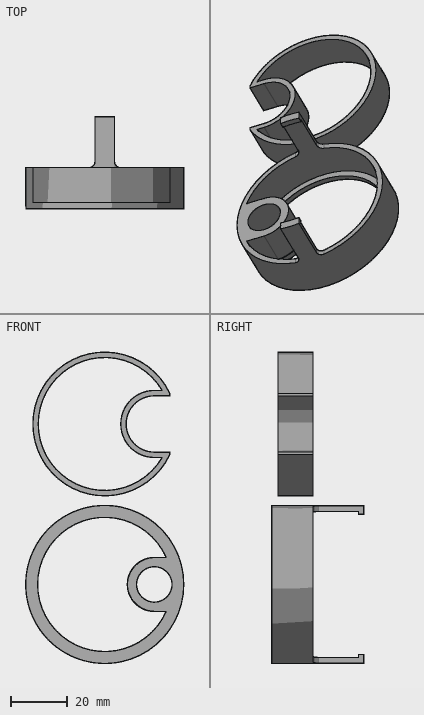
import cadquery as cq
import math


total_height = 110.2

housing_radius = 28.0
housing_wall = 2.0
housing_depth = 14.7
lip_thickness = 2.0
lip_inner_radius = 23.7
bore_radius = housing_radius - housing_wall

boss_x = 17.5
boss_radius = 9.6
boss_step = 0.2
boss_hole_diameter = 12.5

arm_width = 7.0
arm_end_y = 32.6
arm_root_fillet = 2.0
hook_length = 2.0
hook_height = 1.0

insert_radius = 25.5
insert_wall = 2.0
insert_front_y = 2.2
insert_end_x = 23.0
insert_notch_radius = 9.9
insert_z = total_height - housing_radius - insert_radius


def disc(radius, start_y, end_y):
    """Solid cylinder about the Y axis between two Y positions."""
    return cq.Workplane("XZ", origin=(0, start_y, 0)).circle(radius).extrude(start_y - end_y)


def tongue(radius, start_y, end_y):
    """Block with a round -X end centred on the boss axis, running out to the housing radius in +X."""
    return (
        cq.Workplane("XZ", origin=(0, start_y, 0))
        .moveTo(housing_radius, radius)
        .lineTo(boss_x, radius)
        .threePointArc((boss_x - radius, 0), (boss_x, -radius))
        .lineTo(housing_radius, -radius)
        .close()
        .extrude(start_y - end_y)
    )


def make_arms():
    """Both arms: the tube wall cut to a flared strip, plus hooks at the free ends."""
    half_width = arm_width / 2
    root_half_width = half_width + arm_root_fillet
    fillet_end_y = housing_depth + arm_root_fillet
    fillet_middle = arm_root_fillet * (1 - math.sqrt(0.5))
    strip = (
        cq.Workplane("XY")
        .moveTo(-root_half_width, housing_depth)
        .threePointArc(
            (-half_width - fillet_middle, housing_depth + fillet_middle),
            (-half_width, fillet_end_y),
        )
        .lineTo(-half_width, arm_end_y)
        .lineTo(half_width, arm_end_y)
        .lineTo(half_width, fillet_end_y)
        .threePointArc(
            (half_width + fillet_middle, housing_depth + fillet_middle),
            (root_half_width, housing_depth),
        )
        .close()
        .extrude(housing_radius, both=True)
    )
    hook_start_y = arm_end_y - hook_length
    hook_radius = bore_radius - hook_height
    tube = (
        disc(housing_radius, housing_depth, arm_end_y)
        .cut(disc(bore_radius, housing_depth, hook_start_y))
        .cut(disc(hook_radius, hook_start_y, arm_end_y))
    )
    return tube.intersect(strip)


def make_housing():
    """Ring with a front lip, a tubular boss and two hooked arms."""
    ring = (
        disc(housing_radius, 0, housing_depth)
        .cut(disc(lip_inner_radius, 0, lip_thickness))
        .cut(disc(bore_radius, lip_thickness, housing_depth))
    )
    boss = tongue(boss_radius, 0, lip_thickness).union(
        tongue(boss_radius - boss_step, lip_thickness, housing_depth)
    )
    boss = boss.intersect(disc(housing_radius, 0, housing_depth))
    boss_hole = disc(boss_hole_diameter / 2, 0, housing_depth).translate((boss_x, 0, 0))
    return ring.union(boss).cut(boss_hole).union(make_arms())


def make_insert():
    """Thin-walled crescent whose notch leaves room for the boss."""
    outer = disc(insert_radius, insert_front_y, housing_depth)
    inner = disc(insert_radius - insert_wall, insert_front_y, housing_depth)
    notch = tongue(insert_notch_radius, insert_front_y, housing_depth)
    notch_wall = tongue(insert_notch_radius + insert_wall, insert_front_y, housing_depth)
    trim_length = 2 * (insert_radius + insert_end_x)
    end_trim = cq.Workplane("XY").box(trim_length, 2 * arm_end_y, trim_length)
    end_trim = end_trim.translate((insert_end_x - trim_length / 2, 0, 0))
    crescent = outer.cut(inner.cut(notch_wall)).cut(notch).intersect(end_trim)
    return crescent.translate((0, 0, insert_z))


housing = make_housing()
insert = make_insert()

result = cq.Compound.makeCompound([housing.val(), insert.val()])